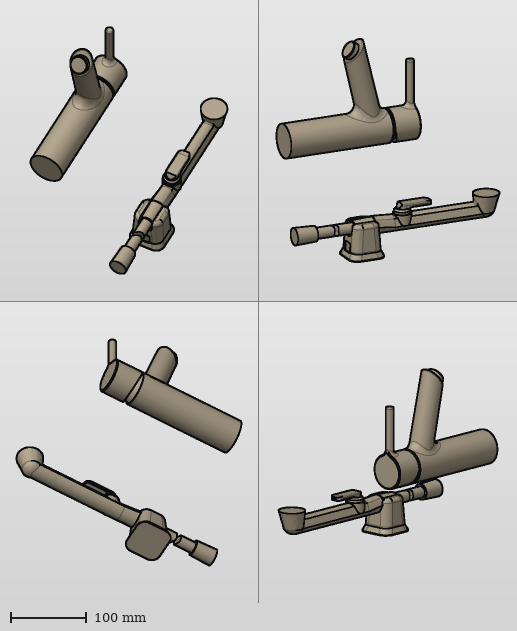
import cadquery as cq
import math

COLUMN_RADIUS = 23.5
COLUMN_LENGTH = 149.0
GROOVE_WIDTH = 2.7
NECK_RADIUS = 22.3
NECK_END_RADIUS = 17.5
NECK_LENGTH = 10.0
TRIM_LENGTH = 29.7

SPOUT_ROOT_Y = 128.2
SPOUT_LEAN = 13.4
SPOUT_LENGTH = 115.7
SPOUT_ROOT_RADIUS = 16.3
SPOUT_TIP_RADIUS = 15.5
SPOUT_BLEND = 12.0
SPOUT_FACE_TILT = 40.0
SPOUT_RIM_FILLET = 1.5

AERATOR_TILT = 36.0
AERATOR_RADIUS = 12.2
AERATOR_LENGTH = 14.8
AERATOR_FACE_Y = 93.5
AERATOR_FACE_Z = 114.5
AERATOR_CHAMFER = 1.05

HANDLE_START_Y = COLUMN_LENGTH + GROOVE_WIDTH
HANDLE_END_Y = 189.3
HANDLE_RELIEF = 6.5
HANDLE_EDGE = 1.5
LEVER_RADIUS = 5.3
LEVER_INSET = 0.5
LEVER_Y = HANDLE_END_Y - LEVER_INSET - LEVER_RADIUS
LEVER_TOP_Z = 87.5
LEVER_TOP_FILLET = 1.8
LEVER_BLEND = 7.0

SHOWER_X = 128.8
SHOWER_Z = -86.3
SHOWER_END_Y = 68.5
SHOWER_END_RADIUS = 12.2
TRANSITION_LENGTH = 28.5
TUBE_HALF_WIDTH = 12.0
TUBE_TOP_HALF_WIDTH = 7.7
ROUND_SHOULDER_ANGLE = 50.0
TUBE_TOP_Z = -76.0
TUBE_SHOULDER_Z = -79.5
TUBE_WAIST_Z = -90.2
TUBE_BOTTOM_Z = -98.5

HEAD_RADIUS = 17.8
HEAD_TOP_Z = -66.0
HEAD_BACK_Y = 252.0
HEAD_TOP_Y = HEAD_BACK_Y - HEAD_RADIUS
HEAD_ROOT_RADIUS = 13.4
HEAD_ROOT_Y = 231.0
HEAD_BLEND = 1.8

VALVE_Y = 111.8
BOSS_RADIUS = 12.5
BOSS_TOP_Z = -75.5
CAP_RADIUS = 11.3
CAP_EDGE_Z = -71.8
CAP_TOP_Z = -68.5
CAP_TOP_RADIUS = 8.5
PADDLE_HALF_WIDTH = 9.0
PADDLE_EDGE = 1.5
PADDLE_TIP_Y = 153.5
PADDLE_HEEL_Y = 104.7
PADDLE_TOP_Z = -61.7
PADDLE_BOTTOM_Z = -67.3
PADDLE_TIP_Z = -64.5
PADDLE_NOSE_Z = -62.5
PADDLE_NOSE = 1.5
PADDLE_THINNING = 8.5
HEEL_SLOPE = 4.5
HEEL_LENGTH = 12.5
HEEL_ROOT = 15.7

SLEEVE_START_RADIUS = 11.3
SLEEVE_END_RADIUS = 10.0
SLEEVE_END_Y = 39.5
HOSE_RADIUS = 7.7
UPPER_BREAK_Y = 15.0
LOWER_BREAK_Y = 9.2
BREAK_WAVE = 1.8
BREAK_CREST_X = 4.5
NUT_START_Y = -14.8
NUT_END_Y = -44.8
NUT_START_RADIUS = 10.7
NUT_END_RADIUS = 12.0

HOLDER_Y = 53.7
HOLDER_BOTTOM_Z = -126.0
HOLDER_TOP_Z = -78.0
BASE_SIDE = 49.8
BASE_CORNER = 12.2
BASE_RIM = 1.2
FLARE_TOP_Z = -117.2
SKIRT_TOP_Z = -114.8
BODY_ROOT_X = 43.5
BODY_ROOT_Y = 42.5
BODY_TOP_X = 39.8
BODY_TOP_Y = 37.5
BODY_CORNER = 11.3
HOLDER_TOP_FILLET = 5.5
CHANNEL_WIDTH = 18.5
WINDOW_WIDTH = 14.5
WINDOW_TOP_Z = -105.0
WINDOW_BOTTOM_Z = -118.5
WINDOW_CORNER = 2.5
WINDOW_FACE_Y = 33.2


def rod(x, z, start_y, end_y, radius, end_radius=None):
    """Round bar along +Y, tapering to end_radius if one is given."""
    far_radius = radius if end_radius is None else end_radius
    length = end_y - start_y
    outline = [(0, 0), (radius, 0), (far_radius, length), (0, length)]
    bar = cq.Workplane("XY").polyline(outline).close().revolve(360, (0, 0), (0, 1))
    return bar.translate((x, start_y, z))


def post(x, y, bottom_z, top_z, radius):
    """Round bar along +Z."""
    return cq.Workplane("XY", origin=(x, y, bottom_z)).circle(radius).extrude(top_z - bottom_z)


def tilted_plane(y, z, elevation):
    """Plane at X = 0 whose normal rises by elevation degrees above -Y."""
    angle = math.radians(elevation)
    return cq.Plane(origin=(0, y, z), xDir=(1, 0, 0), normal=(0, -math.cos(angle), math.sin(angle)))


def make_neck():
    return rod(0, 0, COLUMN_LENGTH, COLUMN_LENGTH + NECK_LENGTH, NECK_RADIUS, NECK_END_RADIUS)


def make_aerator():
    face = tilted_plane(AERATOR_FACE_Y, AERATOR_FACE_Z, AERATOR_TILT)
    barrel = cq.Workplane(face).circle(AERATOR_RADIUS).extrude(-AERATOR_LENGTH)
    return barrel.edges(cq.NearestToPointSelector((0, AERATOR_FACE_Y, AERATOR_FACE_Z))).chamfer(AERATOR_CHAMFER)


def make_spout():
    lean = math.radians(SPOUT_LEAN)
    axis = tilted_plane(SPOUT_ROOT_Y, 0, 90 - SPOUT_LEAN)
    overlength = SPOUT_LENGTH + TRIM_LENGTH
    taper = (SPOUT_ROOT_RADIUS - SPOUT_TIP_RADIUS) / SPOUT_LENGTH
    far_radius = SPOUT_ROOT_RADIUS - taper * overlength
    tube = (
        cq.Workplane(axis).circle(SPOUT_ROOT_RADIUS)
        .workplane(offset=overlength).circle(far_radius).loft()
    )
    tip_y = SPOUT_ROOT_Y - SPOUT_LENGTH * math.sin(lean)
    tip_z = SPOUT_LENGTH * math.cos(lean)
    end_face = tilted_plane(tip_y, tip_z, SPOUT_FACE_TILT)
    beyond = cq.Workplane(end_face).rect(SPOUT_LENGTH, SPOUT_LENGTH).extrude(SPOUT_LENGTH)
    return tube.cut(beyond)


def make_mixer_body():
    column = rod(0, 0, 0, COLUMN_LENGTH + TRIM_LENGTH, COLUMN_RADIUS)
    body = column.union(make_spout())
    root_point = (0, SPOUT_ROOT_Y + SPOUT_ROOT_RADIUS, COLUMN_RADIUS)
    body = body.edges(cq.NearestToPointSelector(root_point)).fillet(SPOUT_BLEND)
    end_face = cq.NearestToPointSelector((0, AERATOR_FACE_Y, AERATOR_FACE_Z))
    body = body.faces(end_face).edges().fillet(SPOUT_RIM_FILLET)
    stock = rod(0, 0, COLUMN_LENGTH, COLUMN_LENGTH + 2 * TRIM_LENGTH, 3 * COLUMN_RADIUS)
    return body.cut(stock).union(make_neck()).cut(make_aerator())


def make_handle():
    cap = rod(0, 0, HANDLE_START_Y, HANDLE_END_Y + TRIM_LENGTH, COLUMN_RADIUS)
    lever = post(0, LEVER_Y, 0, LEVER_TOP_Z, LEVER_RADIUS).faces(">Z").edges().fillet(LEVER_TOP_FILLET)
    handle = cap.union(lever)
    lever_foot = (0, LEVER_Y - LEVER_RADIUS, COLUMN_RADIUS)
    handle = handle.edges(cq.NearestToPointSelector(lever_foot)).fillet(LEVER_BLEND)
    stock = rod(0, 0, HANDLE_END_Y, HANDLE_END_Y + 2 * TRIM_LENGTH, 3 * COLUMN_RADIUS)
    relief = (
        cq.Workplane("YZ")
        .polyline([
            (HANDLE_START_Y, 0),
            (HANDLE_START_Y + HANDLE_RELIEF, -COLUMN_RADIUS),
            (HANDLE_START_Y, -COLUMN_RADIUS),
        ])
        .close()
        .extrude(COLUMN_RADIUS, both=True)
    )
    handle = handle.cut(stock).cut(relief).cut(make_neck())
    back_edge = (0, HANDLE_END_Y, -COLUMN_RADIUS)
    return handle.faces(">Y").edges(cq.NearestToPointSelector(back_edge)).chamfer(HANDLE_EDGE)


def shower_section(y, top_z, shoulder, waist, bottom_z, side_middle=None):
    """Closed XZ section: a top arc, a bottom arc, and sides that are arcs if side_middle is given, else flat.

    Corners are (x, z) on the right side, with x from the shower axis; the left side mirrors them.
    """
    def right(point):
        return cq.Vector(SHOWER_X + point[0], y, point[1])

    def left(point):
        return cq.Vector(SHOWER_X - point[0], y, point[1])

    def side(place):
        if side_middle is None:
            return cq.Edge.makeLine(place(shoulder), place(waist))
        return cq.Edge.makeThreePointArc(place(shoulder), place(side_middle), place(waist))

    top = cq.Edge.makeThreePointArc(left(shoulder), right((0, top_z)), right(shoulder))
    bottom = cq.Edge.makeThreePointArc(right(waist), right((0, bottom_z)), left(waist))
    return cq.Wire.assembleEdges([top, side(right), bottom, side(left)])


def tube_section(y):
    shoulder = (TUBE_TOP_HALF_WIDTH, TUBE_SHOULDER_Z)
    waist = (TUBE_HALF_WIDTH, TUBE_WAIST_Z)
    return shower_section(y, TUBE_TOP_Z, shoulder, waist, TUBE_BOTTOM_Z)


def round_section(y):
    """Circle about the hose axis, split at the corners that the tube section has."""
    def on_circle(degrees):
        angle = math.radians(degrees)
        return (SHOWER_END_RADIUS * math.cos(angle), SHOWER_Z + SHOWER_END_RADIUS * math.sin(angle))

    top_z = SHOWER_Z + SHOWER_END_RADIUS
    bottom_z = SHOWER_Z - SHOWER_END_RADIUS
    shoulder = on_circle(ROUND_SHOULDER_ANGLE)
    side_middle = on_circle(ROUND_SHOULDER_ANGLE / 2)
    waist = on_circle(0)
    return shower_section(y, top_z, shoulder, waist, bottom_z, side_middle)


def make_head():
    funnel = (
        cq.Workplane("XY", origin=(SHOWER_X, HEAD_ROOT_Y, TUBE_WAIST_Z)).circle(HEAD_ROOT_RADIUS)
        .workplane(offset=HEAD_TOP_Z - TUBE_WAIST_Z)
        .center(0, HEAD_TOP_Y - HEAD_ROOT_Y).circle(HEAD_RADIUS)
        .loft()
    )
    depth = TUBE_WAIST_Z - TUBE_BOTTOM_Z
    bowl_radius = (HEAD_ROOT_RADIUS**2 + depth**2) / (2 * depth)
    bowl_center = (SHOWER_X, HEAD_ROOT_Y, TUBE_BOTTOM_Z + bowl_radius)
    ball = cq.Workplane("XY").sphere(bowl_radius).translate(bowl_center)
    bowl = ball.intersect(post(SHOWER_X, HEAD_ROOT_Y, TUBE_BOTTOM_Z, TUBE_WAIST_Z, HEAD_ROOT_RADIUS))
    return funnel.union(bowl)


def make_shower():
    tube_start_y = SHOWER_END_Y + TRANSITION_LENGTH
    transition = cq.Solid.makeLoft([round_section(SHOWER_END_Y), tube_section(tube_start_y)], True)
    run = cq.Vector(0, HEAD_ROOT_Y - tube_start_y, 0)
    tube = cq.Solid.extrudeLinear(tube_section(tube_start_y), [], run)
    head_joint = (SHOWER_X, HEAD_TOP_Y - HEAD_RADIUS, TUBE_TOP_Z)
    boss = post(SHOWER_X, VALVE_Y, TUBE_WAIST_Z, BOSS_TOP_Z, BOSS_RADIUS)
    body = cq.Workplane(transition).union(cq.Workplane(tube)).union(make_head())
    return body.edges(cq.NearestToPointSelector(head_joint)).fillet(HEAD_BLEND).union(boss)


def make_paddle():
    """Thin lever whose heel bends down onto the cap."""
    nose_y = PADDLE_TIP_Y - PADDLE_NOSE
    underside_start_y = PADDLE_HEEL_Y + HEEL_ROOT
    profile = [
        (PADDLE_TIP_Y, PADDLE_TIP_Z),
        (nose_y, PADDLE_NOSE_Z),
        (PADDLE_TIP_Y - PADDLE_THINNING, PADDLE_TOP_Z),
        (PADDLE_HEEL_Y + HEEL_SLOPE, PADDLE_TOP_Z),
        (PADDLE_HEEL_Y, CAP_TOP_Z),
        (PADDLE_HEEL_Y + HEEL_LENGTH, CAP_TOP_Z),
        (underside_start_y, PADDLE_BOTTOM_Z),
        (nose_y, PADDLE_BOTTOM_Z),
    ]
    plate = cq.Workplane("YZ").polyline(profile).close().extrude(PADDLE_HALF_WIDTH, both=True)
    underside = (0, (underside_start_y + nose_y) / 2, PADDLE_BOTTOM_Z)
    plate = plate.faces(cq.NearestToPointSelector(underside)).edges("|Y").chamfer(PADDLE_EDGE)
    plate = plate.translate((SHOWER_X, 0, 0))
    length = PADDLE_TIP_Y - PADDLE_HEEL_Y
    middle_y = (PADDLE_TIP_Y + PADDLE_HEEL_Y) / 2
    plan = (
        cq.Workplane("XY", origin=(SHOWER_X, middle_y, CAP_TOP_Z))
        .slot2D(length, 2 * PADDLE_HALF_WIDTH, 90)
        .extrude(PADDLE_TOP_Z - CAP_TOP_Z)
        .faces(">Z").edges().fillet(PADDLE_EDGE)
    )
    return plate.intersect(plan)


def make_trigger():
    outline = [
        (0, BOSS_TOP_Z),
        (CAP_RADIUS, BOSS_TOP_Z),
        (CAP_RADIUS, CAP_EDGE_Z),
        (CAP_TOP_RADIUS, CAP_TOP_Z),
        (0, CAP_TOP_Z),
    ]
    cap = cq.Workplane("XZ").polyline(outline).close().revolve(360, (0, 0), (0, 1))
    return cap.translate((SHOWER_X, VALVE_Y, 0)).union(make_paddle())


def make_sleeve():
    return rod(SHOWER_X, SHOWER_Z, SLEEVE_END_Y, SHOWER_END_Y, SLEEVE_END_RADIUS, SLEEVE_START_RADIUS)


def beyond_break(break_y, reach):
    """Block bounded by the wavy break line at break_y, filling the space from there over reach along Y."""
    crest = BREAK_CREST_X
    line = [
        (step * crest, break_y + BREAK_WAVE * math.sin(step * math.pi / 2)) for step in (-2, -1, 0, 1, 2)
    ]
    side = 2 * crest
    return (
        cq.Workplane("XY", origin=(SHOWER_X, 0, SHOWER_Z))
        .moveTo(-side, break_y).spline(line[1:], includeCurrent=True)
        .lineTo(side, break_y + reach).lineTo(-side, break_y + reach).close()
        .extrude(2 * HOSE_RADIUS, both=True)
    )


def make_upper_hose():
    hose = rod(SHOWER_X, SHOWER_Z, UPPER_BREAK_Y - TRIM_LENGTH, SLEEVE_END_Y, HOSE_RADIUS)
    return hose.intersect(beyond_break(UPPER_BREAK_Y, 2 * TRIM_LENGTH))


def make_lower_hose():
    hose = rod(SHOWER_X, SHOWER_Z, NUT_START_Y, LOWER_BREAK_Y + TRIM_LENGTH, HOSE_RADIUS)
    return hose.cut(beyond_break(LOWER_BREAK_Y, 2 * TRIM_LENGTH))


def make_hose_nut():
    return rod(SHOWER_X, SHOWER_Z, NUT_END_Y, NUT_START_Y, NUT_END_RADIUS, NUT_START_RADIUS)


def rounded_block(bottom, top, bottom_z, top_z):
    """Tapered block between two rounded rectangles, each given as (x size, y size, corner radius)."""
    def outline(size):
        return cq.Sketch().rect(size[0], size[1]).vertices().fillet(size[2])

    return (
        cq.Workplane("XY", origin=(SHOWER_X, HOLDER_Y, bottom_z)).placeSketch(
            outline(bottom), outline(top).moved(cq.Location(cq.Vector(0, 0, top_z - bottom_z)))
        ).loft()
    )


def channel_opening(start_y, end_y, width):
    """Slot that opens the holder upwards from the hose axis."""
    return (
        cq.Workplane("XY", origin=(SHOWER_X, (start_y + end_y) / 2, SHOWER_Z))
        .rect(width, end_y - start_y)
        .extrude(BASE_SIDE)
    )


def make_holder():
    base = (BASE_SIDE, BASE_SIDE, BASE_CORNER)
    body_root = (BODY_ROOT_X, BODY_ROOT_Y, BODY_CORNER)
    body_top = (BODY_TOP_X, BODY_TOP_Y, BODY_CORNER)
    rim_top_z = HOLDER_BOTTOM_Z + BASE_RIM
    rim = rounded_block(base, base, HOLDER_BOTTOM_Z, rim_top_z)
    flare = rounded_block(base, body_root, rim_top_z, FLARE_TOP_Z)
    skirt = rounded_block(body_root, body_root, FLARE_TOP_Z, SKIRT_TOP_Z)
    body = rounded_block(body_root, body_top, SKIRT_TOP_Z, HOLDER_TOP_Z)
    body = body.faces(">Z").edges().fillet(HOLDER_TOP_FILLET)

    front_y = HOLDER_Y - BASE_SIDE
    back_y = HOLDER_Y + BASE_SIDE
    window_height = WINDOW_TOP_Z - WINDOW_BOTTOM_Z
    window = (
        cq.Workplane("XY", origin=(SHOWER_X, front_y, WINDOW_BOTTOM_Z))
        .rect(WINDOW_WIDTH, 2 * (WINDOW_FACE_Y - front_y))
        .extrude(window_height)
        .edges("|Y and >Z").fillet(WINDOW_CORNER)
    )
    return (
        rim.union(flare).union(skirt).union(body)
        .cut(rod(SHOWER_X, SHOWER_Z, front_y, SLEEVE_END_Y, SLEEVE_END_RADIUS))
        .cut(channel_opening(front_y, SHOWER_END_Y, CHANNEL_WIDTH))
        .cut(make_sleeve())
        .cut(channel_opening(SHOWER_END_Y, back_y, 2 * SHOWER_END_RADIUS))
        .cut(make_shower())
        .cut(window)
    )


mixer_body = make_mixer_body()
aerator = make_aerator()
handle = make_handle()
shower = make_shower()
trigger = make_trigger()
sleeve = make_sleeve()
upper_hose = make_upper_hose()
lower_hose = make_lower_hose()
hose_nut = make_hose_nut()
holder = make_holder()

result = cq.Compound.makeCompound([
    *mixer_body.solids().vals(),
    *aerator.solids().vals(),
    *handle.solids().vals(),
    *shower.solids().vals(),
    *trigger.solids().vals(),
    *sleeve.solids().vals(),
    *upper_hose.solids().vals(),
    *lower_hose.solids().vals(),
    *hose_nut.solids().vals(),
    *holder.solids().vals(),
])